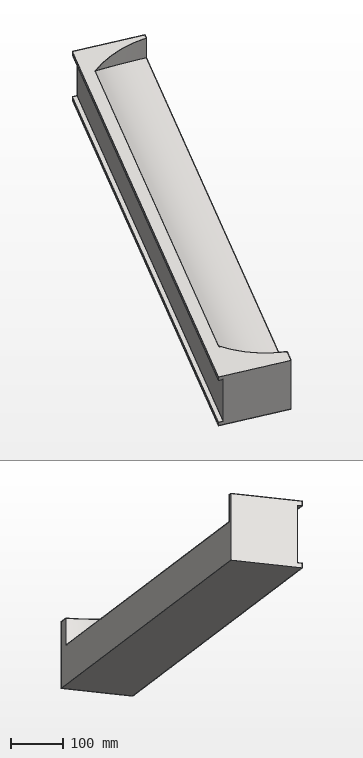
import cadquery as cq
import math

length = 914.4
width = 146.05
height = 133.35

lip_height = 9.525
channel_depth = 9.525

scoop_centre_x = -7.9375
scoop_back_length = 880.0
scoop_front_length = 772.0
rim_width = 25.4
end_radius = 215.9
scoop_depth = 53.975
floor_radius = 215.9

back_y = width / 2
front_y = -width / 2
top_z = height / 2
rim_y = front_y + rim_width


def arc_midpoint(start, end, radius):
    """Middle of the short arc from start to end, bulging to the right of that direction."""
    chord_x = end[0] - start[0]
    chord_y = end[1] - start[1]
    chord = math.hypot(chord_x, chord_y)
    bulge = radius - math.sqrt(radius**2 - (chord / 2) ** 2)
    middle_x = (start[0] + end[0]) / 2 + bulge * chord_y / chord
    middle_y = (start[1] + end[1]) / 2 - bulge * chord_x / chord
    return middle_x, middle_y


def make_block():
    """Full-length block with the channel cut in its front face."""
    channel_height = height - 2 * lip_height
    channel = cq.Workplane("XY").box(length, channel_depth, channel_height)
    channel = channel.translate((0, front_y + channel_depth / 2, 0))
    return cq.Workplane("XY").box(length, width, height).cut(channel)


def make_scoop_plan():
    """Prism of the scoop's outline from above, with both end walls curved outwards."""
    back_left = (scoop_centre_x - scoop_back_length / 2, back_y)
    front_left = (scoop_centre_x - scoop_front_length / 2, rim_y)
    front_right = (scoop_centre_x + scoop_front_length / 2, rim_y)
    back_right = (scoop_centre_x + scoop_back_length / 2, back_y)
    return (
        cq.Workplane("XY", origin=(0, 0, top_z))
        .moveTo(*back_left)
        .threePointArc(arc_midpoint(back_left, front_left, end_radius), front_left)
        .lineTo(*front_right)
        .threePointArc(arc_midpoint(front_right, back_right, end_radius), back_right)
        .close()
        .extrude(-scoop_depth)
    )


def make_scoop_section():
    """Full-length bar with the scoop's section: a hollow floor falling from rim to back."""
    rim = (rim_y, top_z)
    back_bottom = (back_y, top_z - scoop_depth)
    return (
        cq.Workplane("YZ", origin=(-length / 2, 0, 0))
        .moveTo(*rim)
        .threePointArc(arc_midpoint(rim, back_bottom, floor_radius), back_bottom)
        .lineTo(back_y, top_z)
        .close()
        .extrude(length)
    )


scoop = make_scoop_plan().intersect(make_scoop_section())
result = make_block().cut(scoop)